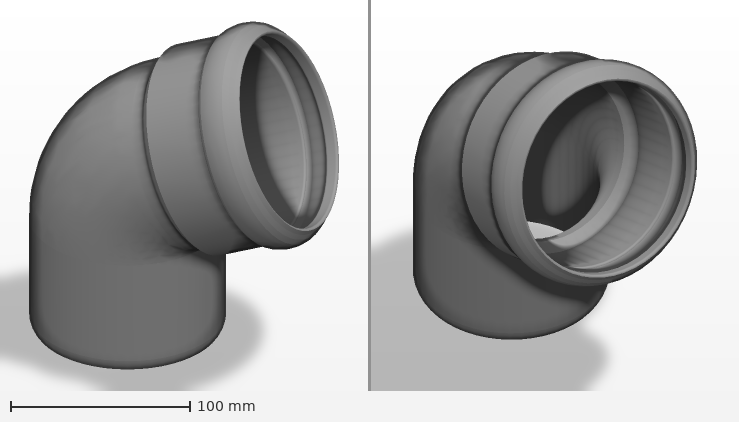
import cadquery as cq
import math

pipe_diameter = 110.0
pipe_radius = pipe_diameter / 2
bore_diameter = 99.0
bore_radius = bore_diameter / 2
spigot_length = 68.2
spigot_tip_length = 6.7
spigot_tip_inset = 2.4

bend_radius = 50.1
bend_angle = 67.5

sleeve_outer_diameter = 120.5
sleeve_outer_radius = sleeve_outer_diameter / 2
sleeve_inner_diameter = 110.5
sleeve_inner_radius = sleeve_inner_diameter / 2
bead_radius = 64.5
bead_shoulder_radius = 63.1
lip_radius = 61.0
neck_round_radius = 55.6
groove_diameter = 120.3
groove_radius = groove_diameter / 2
groove_edge_round = 1.4
mouth_round = 1.5
bead_foot_radius = 61.0

neck_end = 6.3
neck_round_end = 7.5
sleeve_start = 12.4
sleeve_end = 42.5
bead_foot = 46.0
bead_start = 48.5
bead_crown = 56.0
bead_end = 62.3
lip_start = 65.5
lip_end = 67.8
socket_length = 70.0
groove_start = 48.0
groove_floor_start = 51.0
groove_floor_end = 60.7
groove_end = 63.7

overlap = 2.0

tilt = math.radians(bend_angle)
socket_plane = cq.Plane(
    origin=(bend_radius * (1 - math.cos(tilt)), 0, spigot_length + bend_radius * math.sin(tilt)),
    xDir=(-math.cos(tilt), 0, math.sin(tilt)),
    normal=(0, 1, 0),
)


def revolve_bend(profile):
    return profile.revolve(bend_angle, (bend_radius, 0, 0), (bend_radius, 1, 0))


def bend_body():
    """Revolve the pipe disc about the bend axis, omitting the sliver of disc beyond that axis."""
    half_chord = math.sqrt(pipe_radius**2 - bend_radius**2)
    profile = (
        cq.Workplane("XY", origin=(0, 0, spigot_length))
        .moveTo(bend_radius, half_chord)
        .threePointArc((-pipe_radius, 0), (bend_radius, -half_chord))
        .close()
    )
    return revolve_bend(profile)


def bend_bore():
    profile = cq.Workplane("XY", origin=(0, 0, spigot_length)).circle(bore_radius)
    return revolve_bend(profile)


def spigot():
    tip_radius = pipe_radius - spigot_tip_inset
    tip_middle = (pipe_radius - 0.25 * spigot_tip_inset, 0.5 * spigot_tip_length)
    profile = (
        cq.Workplane("XZ")
        .lineTo(tip_radius, 0)
        .threePointArc(tip_middle, (pipe_radius, spigot_tip_length))
        .lineTo(pipe_radius, spigot_length)
        .lineTo(0, spigot_length)
        .close()
    )
    return profile.revolve(360, (0, 0, 0), (0, 1, 0))


def socket_body():
    neck_middle = (
        pipe_radius + 0.25 * (neck_round_radius - pipe_radius),
        (neck_end + neck_round_end) / 2,
    )
    foot_middle = (
        sleeve_outer_radius + 0.25 * (bead_foot_radius - sleeve_outer_radius),
        (sleeve_end + bead_foot) / 2,
    )
    rim_outer_radius = lip_radius - (lip_end - lip_start)
    rim_top_radius = sleeve_inner_radius + mouth_round
    rim_inner_corner = (1 - math.sqrt(0.5)) * mouth_round
    profile = (
        cq.Workplane(socket_plane)
        .lineTo(pipe_radius, 0)
        .lineTo(pipe_radius, neck_end)
        .threePointArc(neck_middle, (neck_round_radius, neck_round_end))
        .lineTo(sleeve_outer_radius, sleeve_start)
        .lineTo(sleeve_outer_radius, sleeve_end)
        .threePointArc(foot_middle, (bead_foot_radius, bead_foot))
        .lineTo(bead_shoulder_radius, bead_start)
        .threePointArc((bead_radius, bead_crown), (bead_shoulder_radius, bead_end))
        .lineTo(lip_radius, lip_start)
        .lineTo(rim_outer_radius, lip_end)
        .lineTo(rim_top_radius, socket_length)
        .threePointArc(
            (sleeve_inner_radius + rim_inner_corner, socket_length - rim_inner_corner),
            (sleeve_inner_radius, socket_length - mouth_round),
        )
        .lineTo(0, socket_length - mouth_round)
        .close()
    )
    return profile.revolve(360, (0, 0, 0), (0, 1, 0))


def socket_cavity():
    edge_round = groove_edge_round
    arc_rise = edge_round * (1 - math.sqrt(0.5))
    arc_run = edge_round * math.sqrt(0.5)
    rounded_radius = sleeve_inner_radius + edge_round
    arc_radius = sleeve_inner_radius + arc_rise
    profile = (
        cq.Workplane(socket_plane)
        .lineTo(bore_radius, 0)
        .lineTo(bore_radius, neck_end)
        .lineTo(sleeve_inner_radius, sleeve_start)
        .lineTo(sleeve_inner_radius, groove_start)
        .threePointArc((arc_radius, groove_start + arc_run), (rounded_radius, groove_start + edge_round))
        .lineTo(groove_radius, groove_floor_start)
        .lineTo(groove_radius, groove_floor_end)
        .lineTo(rounded_radius, groove_end - edge_round)
        .threePointArc((arc_radius, groove_end - arc_run), (sleeve_inner_radius, groove_end))
        .lineTo(sleeve_inner_radius, socket_length + overlap)
        .lineTo(0, socket_length + overlap)
        .close()
    )
    return profile.revolve(360, (0, 0, 0), (0, 1, 0))


spigot_bore = cq.Workplane("XY").circle(bore_radius).extrude(spigot_length)

outside = spigot().union(bend_body()).union(socket_body())
inside = spigot_bore.union(bend_bore()).union(socket_cavity())

result = outside.cut(inside)